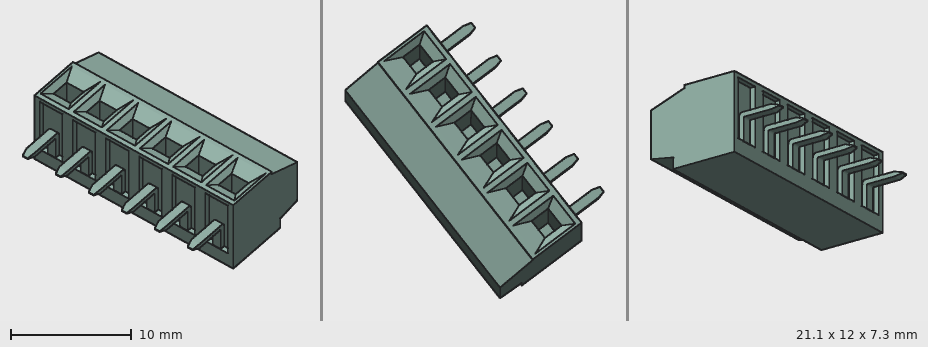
import cadquery as cq


pole_count = 6
length = 21.08
overall_depth = 12.02
body_depth = 8.54
height = 7.3
cell_pitch = length / pole_count
contact_pitch = 3.5

back_bevel = 1.45
top_step_from_front = 5.12
top_step_drop = 0.27
bottom_step_from_front = 6.26
bottom_step_rise = 1.05

funnel_width = 3.0
funnel_front = 0.48
funnel_back = 4.65
funnel_depth = 0.35
wire_hole_width = 1.81
wire_hole_front = 1.43
wire_hole_back = 3.16
wire_hole_taper = 0.05
wire_hole_bottom = 1.41

slot_width = 2.4
slot_floor = 1.41
slot_top_wall = 0.4

pin_width = 0.86
pin_thickness = 0.46
riser_setback = 0.05
slot_depth = pin_thickness + riser_setback
pin_center_height = 3.85
pin_reach = overall_depth - body_depth
tip_length = 0.72
tip_width = 0.55
tip_thickness = 0.08
bend_inner_radius = 0.15
bend_outer_radius = 0.34


def centers(spacing):
    """X positions of the poles, spread evenly about the middle of the housing."""
    first = (length - (pole_count - 1) * spacing) / 2
    return [first + i * spacing for i in range(pole_count)]


def make_housing():
    """Side profile in YZ, front face at Y = 0, extruded along X."""
    profile = [
        (0, 0),
        (bottom_step_from_front, 0),
        (bottom_step_from_front, bottom_step_rise),
        (body_depth, back_bevel),
        (body_depth, height - back_bevel),
        (top_step_from_front, height - top_step_drop),
        (top_step_from_front, height),
        (0, height),
    ]
    return cq.Workplane("YZ").polyline(profile).close().extrude(length)


def make_funnel(mouth_x, hole_x):
    """Sloping mouth running down into a slightly tapered wire hole."""
    mouth_y = (funnel_front + funnel_back) / 2
    hole_y = (wire_hole_front + wire_hole_back) / 2
    hole_depth = wire_hole_back - wire_hole_front
    hole_top = height - funnel_depth
    mouth = (
        cq.Workplane("XY", origin=(mouth_x, mouth_y, height))
        .rect(funnel_width, funnel_back - funnel_front)
        .workplane(offset=-funnel_depth)
        .center(hole_x - mouth_x, hole_y - mouth_y)
        .rect(wire_hole_width, hole_depth)
        .loft(ruled=True)
    )
    hole = (
        cq.Workplane("XY", origin=(hole_x, hole_y, hole_top))
        .rect(wire_hole_width, hole_depth)
        .workplane(offset=wire_hole_bottom - hole_top)
        .rect(wire_hole_width - 2 * wire_hole_taper, hole_depth - 2 * wire_hole_taper)
        .loft(ruled=True)
    )
    return mouth.union(hole)


def make_slot(x):
    """Rectangular recess in the front face."""
    slot_height = height - slot_top_wall - slot_floor
    return (
        cq.Workplane("XY", origin=(x, 0, slot_floor))
        .box(slot_width, slot_depth, slot_height, centered=(True, False, False))
    )


def make_pin(x):
    """Riser standing on the slot floor, bent forward and ending in a tapered tip."""
    pin_top = pin_center_height + pin_thickness / 2
    pin_bottom = pin_center_height - pin_thickness / 2
    shoulder = tip_length - pin_reach
    bend = [
        (slot_depth, slot_floor),
        (slot_depth, pin_top),
        (shoulder, pin_top),
        (shoulder, pin_bottom),
        (riser_setback, pin_bottom),
        (riser_setback, slot_floor),
    ]
    shank = cq.Workplane("YZ").polyline(bend).close().extrude(pin_width / 2, both=True)
    outer_edge = cq.selectors.NearestToPointSelector((0, slot_depth, pin_top))
    inner_edge = cq.selectors.NearestToPointSelector((0, riser_setback, pin_bottom))
    shank = shank.edges(outer_edge).fillet(bend_outer_radius)
    shank = shank.edges(inner_edge).fillet(bend_inner_radius)
    tip = (
        cq.Workplane("XZ", origin=(0, shoulder, pin_center_height))
        .rect(pin_width, pin_thickness)
        .workplane(offset=tip_length)
        .rect(tip_width, tip_thickness)
        .loft(ruled=True)
    )
    return shank.union(tip).translate((x, 0, 0))


result = make_housing()
for cell_x, contact_x in zip(centers(cell_pitch), centers(contact_pitch)):
    result = result.cut(make_funnel(cell_x, contact_x))
    result = result.cut(make_slot(cell_x))
    result = result.union(make_pin(contact_x))